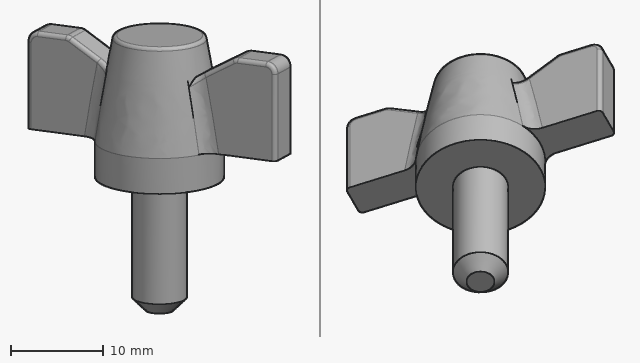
import cadquery as cq
import math

total_height = 30.87
collar_bottom = 14.97
collar_top = 19.0
wing_top = 30.0

stud_radius = 6.0 / 2
tip_chamfer = 1.48

collar_radius = 14.0 / 2
hub_top_radius = 5.03
hub_middle_radius = 6.08
hub_middle_height = (collar_top + total_height) / 2
hub_top_rounding = 0.45

wing_span = 30.0
wing_thickness = 4.0
wing_shoulder_x = 10.03
wing_slope = 30.0
wing_corner_radius = 1.25
wing_edge_rounding = 0.5
wing_root_fillet = 2.0
wing_rim_inner_x = 7.72

edge_tolerance = 0.03


def make_stud():
    """Plain pin with a chamfered tip."""
    stud = cq.Workplane("XY").circle(stud_radius).extrude(collar_bottom)
    return stud.faces("<Z").chamfer(tip_chamfer)


def make_collar():
    """Straight cylinder under the hub and the wings."""
    collar = cq.Workplane("XY").workplane(offset=collar_bottom).circle(collar_radius)
    return collar.extrude(collar_top - collar_bottom)


def make_hub():
    """Tapered body with a curved flank and a rounded top rim."""
    hub = (
        cq.Workplane("XZ")
        .moveTo(0, collar_top)
        .lineTo(collar_radius, collar_top)
        .threePointArc((hub_middle_radius, hub_middle_height), (hub_top_radius, total_height))
        .lineTo(0, total_height)
        .close()
        .revolve(360, (0, 0, 0), (0, 1, 0))
    )
    return hub.faces(">Z").edges().fillet(hub_top_rounding)


def make_wings():
    """Both wings as one plate, whose middle lies hidden inside the hub."""
    half_span = wing_span / 2
    valley_z = wing_top - wing_shoulder_x * math.tan(math.radians(wing_slope))
    outline = [
        (-half_span, collar_top),
        (half_span, collar_top),
        (half_span, wing_top),
        (wing_shoulder_x, wing_top),
        (0, valley_z),
        (-wing_shoulder_x, wing_top),
        (-half_span, wing_top),
    ]
    plate = cq.Workplane("XZ").polyline(outline).close().extrude(wing_thickness / 2, both=True)
    tops = plate.faces(">Z").edges("|Y")
    return tops.fillet(wing_corner_radius)


def side_edges(body, inner_x, outer_x):
    """Edges on the two wing side faces, above the underside, centred in the given X range."""
    found = []
    for edge in body.edges().vals():
        centre = edge.Center()
        on_side = abs(abs(centre.y) - wing_thickness / 2) < edge_tolerance
        if on_side and inner_x < abs(centre.x) < outer_x and centre.z > collar_top + edge_tolerance:
            found.append(edge)
    return body.newObject(found)


def make_grip():
    """Hub and wings, with filleted wing roots and rounded wing rims."""
    grip = make_hub().union(make_wings())
    roots = side_edges(grip, hub_top_radius, collar_radius)
    grip = roots.fillet(wing_root_fillet)
    rims = side_edges(grip, wing_rim_inner_x, wing_span)
    return rims.fillet(wing_edge_rounding)


result = make_grip().union(make_collar()).union(make_stud())